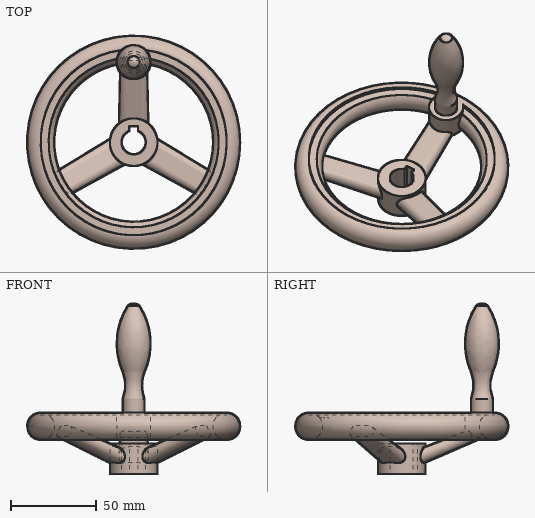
import cadquery as cq
import math

rim_section_radius = 8.0
rim_outer_radius = 62.5
rim_centre_radius = rim_outer_radius - rim_section_radius
rim_centre_z = 28.0
rim_top_z = rim_centre_z + rim_section_radius
rim_step_depth = 1.5

hub_radius = 14.0
hub_height = 18.0
bore_radius = 7.0
key_width = 5.0
key_top_from_axis = 9.3

spoke_count = 3
spoke_first_angle = 90.0
spoke_flat_width = 8.7
spoke_start_radius = 10.0
spoke_hub_axis_z = 11.5
spoke_hub_thickness = 8.8
spoke_rim_thickness = 6.8
spoke_slope = (rim_centre_z - spoke_hub_axis_z) / (rim_centre_radius - hub_radius)

handle_offset = 47.0
boss_radius = 10.0
boss_bottom_z = 21.5

shank_radius = 6.5
shank_top_z = 44.0
neck_radius = 5.0
neck_z = 52.0
neck_top_z = 2 * neck_z - shank_top_z
grip_radius = 10.0
grip_widest_z = 76.5
grip_top_z = 98.5
tip_z = 100.0


def make_rim():
    ring = cq.Workplane("XZ").center(rim_centre_radius, rim_centre_z).circle(rim_section_radius)
    ring = ring.revolve(360, (-rim_centre_radius, 0, 0), (-rim_centre_radius, 1, 0))
    step = cq.Workplane("XY").workplane(offset=rim_top_z - rim_step_depth)
    step = step.circle(rim_centre_radius).extrude(2 * rim_step_depth)
    return ring.cut(step)


def spoke_section(radius, thickness):
    """Stadium wire square to the spoke axis at the given distance from the hub axis."""
    axis_z = spoke_hub_axis_z + spoke_slope * (radius - hub_radius)
    plane = cq.Plane(origin=(radius, 0, axis_z), xDir=(0, 1, 0), normal=(1, 0, spoke_slope))
    return cq.Workplane(plane).slot2D(spoke_flat_width + thickness, thickness).wires().val()


def make_spoke(angle):
    inner = spoke_section(spoke_start_radius, spoke_hub_thickness)
    outer = spoke_section(rim_centre_radius, spoke_rim_thickness)
    spoke = cq.Workplane(cq.Solid.makeLoft([inner, outer], True))
    return spoke.rotate((0, 0, 0), (0, 0, 1), angle)


def make_bore():
    bore = cq.Workplane("XY").circle(bore_radius).extrude(hub_height)
    keyway = cq.Workplane("XY").rect(key_width, key_top_from_axis, centered=(True, False)).extrude(hub_height)
    return bore.union(keyway)


def make_boss():
    """Round boss kept inside the crest of the rim, so that it does not stand out of the outer face."""
    boss_height = rim_top_z - boss_bottom_z
    base = cq.Workplane("XY").workplane(offset=boss_bottom_z)
    boss = base.center(0, handle_offset).circle(boss_radius).extrude(boss_height)
    return boss.intersect(base.circle(rim_centre_radius).extrude(boss_height))


def make_handle():
    grip_rise = grip_widest_z - neck_top_z
    grip_swell = grip_radius - shank_radius
    grip_arc_radius = (grip_rise**2 + grip_swell**2) / (2 * grip_swell)
    grip_top_drop = math.sqrt(grip_arc_radius**2 - (grip_top_z - grip_widest_z) ** 2)
    grip_top_radius = grip_radius - grip_arc_radius + grip_top_drop

    tip_height = tip_z - grip_top_z
    tip_sphere_radius = (grip_top_radius**2 + tip_height**2) / (2 * tip_height)

    profile = (
        cq.Workplane("XZ")
        .moveTo(0, rim_centre_z)
        .lineTo(shank_radius, rim_centre_z)
        .lineTo(shank_radius, shank_top_z)
        .threePointArc((neck_radius, neck_z), (shank_radius, neck_top_z))
        .threePointArc((grip_radius, grip_widest_z), (grip_top_radius, grip_top_z))
        .radiusArc((0, tip_z), -tip_sphere_radius)
        .close()
    )
    return profile.revolve(360, (0, 0, 0), (0, 1, 0)).translate((0, handle_offset, 0))


wheel = make_rim()
wheel = wheel.union(cq.Workplane("XY").circle(hub_radius).extrude(hub_height))
for index in range(spoke_count):
    wheel = wheel.union(make_spoke(spoke_first_angle + index * 360 / spoke_count))
wheel = wheel.union(make_boss()).union(make_handle())
result = wheel.cut(make_bore())